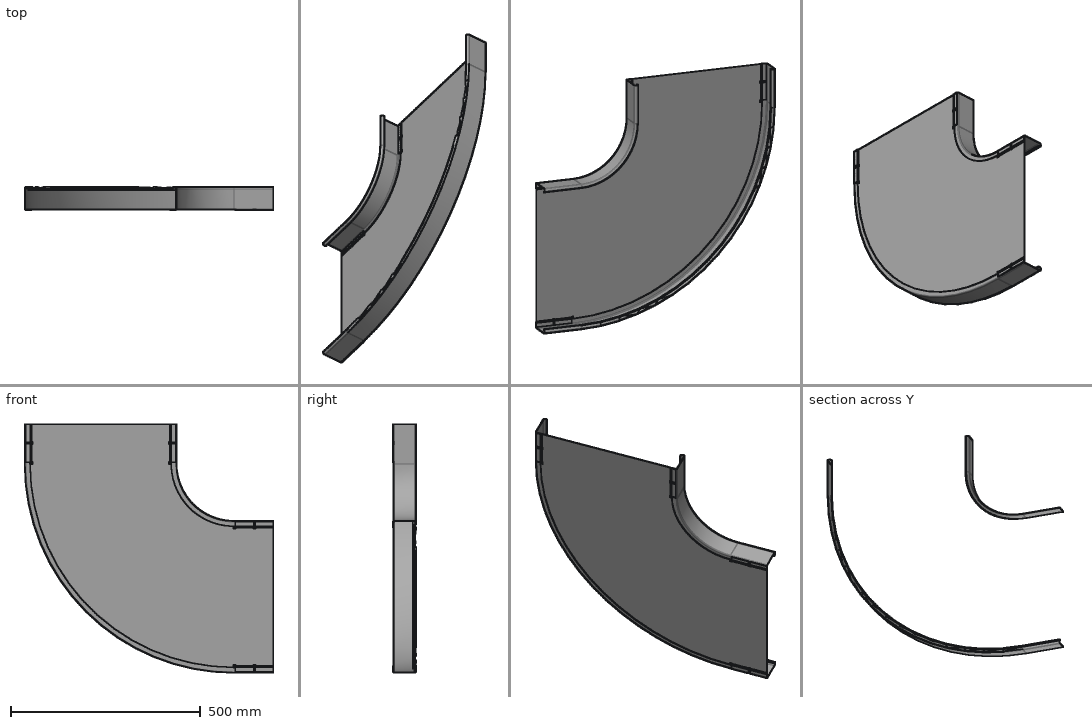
import cadquery as cq
import math


SIZE = 655.0
HEIGHT = 62.0
LEG = 105.0
TRAY_WIDTH = 400.0
CENTRE = SIZE - LEG
DIAGONAL_NORMAL = (1, 0, -1)
DIAGONAL = math.sqrt(0.5)

SHEET = 1.65
BEND_RADIUS = 2.5
FLANGE = 14.5
ROLL_RADIUS = 6.0
RIM_RETURN = 3.0

TAB_OUTER = BEND_RADIUS
TAB_INNER = 16.5
STEP_RUN = 2.3
STEP_END = TAB_INNER + STEP_RUN
TAB_LENGTH = 48.0
TAB_GAP = 4.5
SLOT_END = 20.0

FLOOR_FRONT = SHEET

OUTER_SIDE = (0.0, 1)
INNER_SIDE = (TRAY_WIDTH, -1)


def rail_profile(side):
    """Closed cross-section of a rail at the end of the vertical leg."""
    face_x, inward = side

    def at(inset, y):
        return (face_x + inward * inset, y)

    bend_y = FLOOR_FRONT + BEND_RADIUS
    bend_inner = BEND_RADIUS - SHEET
    roll_y = HEIGHT - ROLL_RADIUS
    roll_inner = ROLL_RADIUS - SHEET
    rim_y = roll_y - RIM_RETURN
    rim_outer = 2 * ROLL_RADIUS
    return (
        cq.Workplane("XY", origin=(0, 0, SIZE))
        .moveTo(*at(FLANGE, FLOOR_FRONT))
        .lineTo(*at(BEND_RADIUS, FLOOR_FRONT))
        .threePointArc(at(BEND_RADIUS * (1 - DIAGONAL), bend_y - BEND_RADIUS * DIAGONAL), at(0, bend_y))
        .lineTo(*at(0, roll_y))
        .threePointArc(at(ROLL_RADIUS, HEIGHT), at(rim_outer, roll_y))
        .lineTo(*at(rim_outer, rim_y))
        .lineTo(*at(rim_outer - SHEET, rim_y))
        .lineTo(*at(rim_outer - SHEET, roll_y))
        .threePointArc(at(ROLL_RADIUS, HEIGHT - SHEET), at(SHEET, roll_y))
        .lineTo(*at(SHEET, bend_y))
        .threePointArc(
            at(BEND_RADIUS - bend_inner * DIAGONAL, bend_y - bend_inner * DIAGONAL),
            at(BEND_RADIUS, FLOOR_FRONT + SHEET),
        )
        .lineTo(*at(FLANGE, FLOOR_FRONT + SHEET))
        .close()
    )


def side_rail(side):
    """One rail: two straight legs joined by a quarter turn about the bend axis."""
    leg = rail_profile(side).extrude(-LEG)
    curve = (
        rail_profile(side)
        .revolve(90, (CENTRE, 0, 0), (CENTRE, -1, 0))
        .translate((0, 0, -LEG))
    )
    return leg.union(curve).union(leg.mirror(DIAGONAL_NORMAL))


def floor_sheet():
    """Flat floor: its curved edges meet the flanges, its straight edges meet the tab steps."""
    outer_radius = CENTRE - FLANGE
    inner_radius = CENTRE - TRAY_WIDTH + FLANGE
    leg_outer = STEP_END
    leg_inner = TRAY_WIDTH - STEP_END

    def mid_arc(radius):
        return (CENTRE - radius * DIAGONAL, CENTRE - radius * DIAGONAL)

    return (
        cq.Workplane("XZ", origin=(0, FLOOR_FRONT + SHEET, 0))
        .moveTo(leg_outer, SIZE)
        .lineTo(leg_outer, CENTRE)
        .lineTo(CENTRE - outer_radius, CENTRE)
        .threePointArc(mid_arc(outer_radius), (CENTRE, CENTRE - outer_radius))
        .lineTo(CENTRE, leg_outer)
        .lineTo(SIZE, leg_outer)
        .lineTo(SIZE, leg_inner)
        .lineTo(CENTRE, leg_inner)
        .lineTo(CENTRE, CENTRE - inner_radius)
        .threePointArc(mid_arc(inner_radius), (CENTRE - inner_radius, CENTRE))
        .lineTo(leg_inner, CENTRE)
        .lineTo(leg_inner, SIZE)
        .close()
        .extrude(SHEET)
    )


def tab_strip(side):
    """Edge strip of the vertical leg, stepped forward so that it lies against the flange."""
    face_x, inward = side
    section = [
        (TAB_OUTER, 0),
        (TAB_INNER, 0),
        (STEP_END, FLOOR_FRONT),
        (STEP_END, FLOOR_FRONT + SHEET),
        (TAB_INNER, SHEET),
        (TAB_OUTER, SHEET),
    ]
    return (
        cq.Workplane("XY", origin=(0, 0, SIZE))
        .polyline([(face_x + inward * inset, y) for inset, y in section])
        .close()
        .extrude(-LEG)
    )


def tab_slot(side, top_z, bottom_z):
    """Cutter through the edge strip and a little way into the flat floor."""
    face_x, inward = side
    depth = 2 * SHEET
    return (
        cq.Workplane("XY", origin=(face_x + inward * SLOT_END / 2, depth / 2, bottom_z))
        .rect(SLOT_END, depth)
        .extrude(top_z - bottom_z)
    )


def tray_floor():
    """The floor sheet with two tabs on each side of each leg."""
    first_tab_end = SIZE - TAB_LENGTH
    second_tab_start = first_tab_end - TAB_GAP
    second_tab_end = second_tab_start - TAB_LENGTH
    floor = floor_sheet()
    for side in (OUTER_SIDE, INNER_SIDE):
        strip = tab_strip(side)
        floor = floor.union(strip).union(strip.mirror(DIAGONAL_NORMAL))
        for top_z, bottom_z in ((first_tab_end, second_tab_start), (second_tab_end, CENTRE)):
            slot = tab_slot(side, top_z, bottom_z)
            floor = floor.cut(slot).cut(slot.mirror(DIAGONAL_NORMAL))
    return floor


floor = tray_floor()
outer_rail = side_rail(OUTER_SIDE)
inner_rail = side_rail(INNER_SIDE)

result = cq.Compound.makeCompound([
    floor.solids().val(),
    outer_rail.solids().val(),
    inner_rail.solids().val(),
])